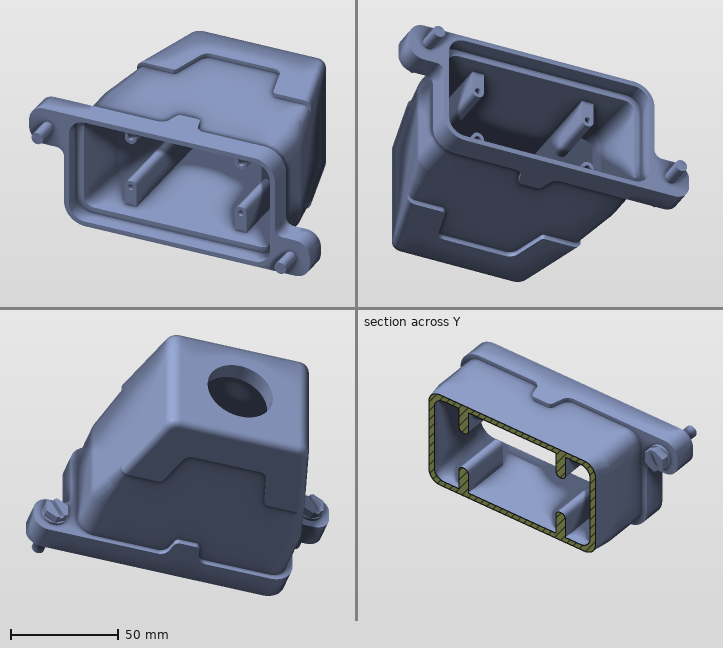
import cadquery as cq
import math


flange_length = 109.0
flange_height = 58.0
flange_thickness = 12.0
flange_corner = 11.0
ear_span = 145.0
ear_height = 19.0
ear_corner = 7.5
ear_root_fillet = 4.0
half_flange = flange_length / 2
half_span = ear_span / 2
half_height = flange_height / 2
ear_inner_edge = half_height - ear_height

hood_length = 103.0
hood_height = 53.0
hood_corner = 8.5
bend_y = 34.7
bend_radius = 10.5
selection_margin = 0.1
side_angle = 15.0
side_slope = math.tan(math.radians(side_angle))
back_y = 100.2
step_y = 59.2
step_corner = 3.8
back_corner = 6.0
back_edge_round = 3.5
half_hood_height = hood_height / 2

notch_top_y = 80.0
notch_top_half = 19.6
notch_top_round = 4.6
notch_foot_round = 2.0

tab_top_y = 21.9
tab_top_half = 5.7
tab_top_round = 2.3
tab_foot_round = 4.5

band_overhang = 3

recess_length = 103.8
recess_height = 53.0
recess_corner = 8.1
recess_depth = 8.7
cavity_mouth_half = 48.5
cavity_bend_half = 46.4
cavity_bend_y = 40.6
cavity_height = 46.7
cavity_corner = 5.4
cavity_floor_y = 91.6
shelf_y = 46.4
cable_hole = 32.0

rib_x = 28.4
rib_width = 6.0
rib_nose_round = 2.9
rib_end_z = 10.0
rib_front_y = 17.5
rib_hole = 3.0
rib_hole_z = 13.3
rib_hole_depth = 8.7

screw_x = 62.8
screw_z = 19.5
screw_diameter = 6.0
screw_reach = 11.7
washer_diameter = 12.0
washer_thickness = 1.5
head_across_corners = 12.0
head_height = 4.0
slot_width = 2.5
slot_depth = 1.5
slot_angle = 60.0
head_turn = 90.0


def plane_at(y):
    """Workplane across the hood axis, X to the right and Z up; extrude(-d) goes toward +Y."""
    return cq.Workplane("XZ", origin=(0, y, 0))


def rounded_section(length, height, corner):
    return cq.Sketch().rect(length, height).vertices().fillet(corner)


def rounded_block(length, height, corner, y, depth):
    return plane_at(y).placeSketch(rounded_section(length, height, corner)).extrude(-depth)


def hood_half_length(y):
    """Half length of the hood on its sloping sides."""
    return hood_length / 2 - (y - bend_y) * side_slope


def make_flange():
    outline = [
        (-half_span, half_height),
        (half_flange, half_height),
        (half_flange, -ear_inner_edge),
        (half_span, -ear_inner_edge),
        (half_span, -half_height),
        (-half_flange, -half_height),
        (-half_flange, ear_inner_edge),
        (-half_span, ear_inner_edge),
    ]
    flange = plane_at(0).polyline(outline).close().extrude(-flange_thickness)

    def round_corners(body, points, radius):
        for x, z in points:
            corner = cq.selectors.NearestToPointSelector((x, flange_thickness / 2, z))
            body = body.edges("|Y").edges(corner).fillet(radius)
        return body

    flange = round_corners(flange, [outline[1], outline[5]], flange_corner)
    flange = round_corners(flange, [outline[2], outline[6]], ear_root_fillet)
    return round_corners(flange, [outline[0], outline[3], outline[4], outline[7]], ear_corner)


def make_front_shell():
    """Straight shell, then sloping sides whose corner rounds shrink toward the step."""
    straight = rounded_block(hood_length, hood_height, hood_corner, 0, bend_y)
    start = rounded_section(hood_length, hood_height, hood_corner)
    end = rounded_section(2 * hood_half_length(step_y), hood_height, step_corner)
    end = end.moved(cq.Location(cq.Vector(0, 0, bend_y - step_y)))
    sloping = plane_at(bend_y).placeSketch(start, end).loft()
    shell = straight.union(sloping)
    bend = cq.selectors.BoxSelector(
        (-hood_length, bend_y - selection_margin, -hood_height),
        (hood_length, bend_y + selection_margin, hood_height),
    )
    return shell.edges(bend).fillet(bend_radius)


def make_rear_shell():
    """Full-height rear block with rounded outer edges."""
    outline = [
        (-hood_half_length(step_y), step_y),
        (hood_half_length(step_y), step_y),
        (hood_half_length(back_y), back_y),
        (-hood_half_length(back_y), back_y),
    ]
    block = cq.Workplane("XY").polyline(outline).close().extrude(half_height, both=True)
    block = block.edges("|Z and >Y").fillet(back_corner)
    rim = block.faces("|Z").edges("not(<Y)")
    return rim.fillet(back_edge_round)


def raised_trapezoid(foot_y, top_y, top_half, top_round, foot_round):
    """Layers on both hood faces: a trapezoid flaring smoothly into a narrow band below foot_y."""
    foot_half = top_half + (top_y - foot_y) * side_slope
    band_half = foot_half + band_overhang * foot_round
    band_y = foot_y - foot_round
    outline = [
        (-band_half, band_y),
        (band_half, band_y),
        (band_half, foot_y),
        (foot_half, foot_y),
        (top_half, top_y),
        (-top_half, top_y),
        (-foot_half, foot_y),
        (-band_half, foot_y),
    ]
    thickness = half_height - half_hood_height
    base = cq.Workplane("XY", origin=(0, 0, half_hood_height))
    layer = base.polyline(outline).close().extrude(thickness)
    layer = layer.edges("|Z and >Y").fillet(top_round)
    for x in (-foot_half, foot_half):
        foot = cq.selectors.NearestToPointSelector((x, foot_y, half_height - thickness / 2))
        layer = layer.edges("|Z").edges(foot).fillet(foot_round)
    return layer.union(layer.mirror("XY"))


def make_cavity():
    """Seal recess, stepped cavity and cable opening."""
    floor_half = cavity_bend_half - (cavity_floor_y - cavity_bend_y) * side_slope
    shelf_half = cavity_bend_half - (shelf_y - cavity_bend_y) * side_slope
    block_x = rib_x - rib_width / 2
    outline = [
        (-cavity_mouth_half, recess_depth),
        (cavity_mouth_half, recess_depth),
        (cavity_bend_half, cavity_bend_y),
        (shelf_half, shelf_y),
        (block_x, shelf_y),
        (block_x, cavity_floor_y),
        (-floor_half, cavity_floor_y),
        (-cavity_bend_half, cavity_bend_y),
    ]
    cavity = cq.Workplane("XY").polyline(outline).close().extrude(cavity_height / 2, both=True)
    right_wall = cq.selectors.BoxSelector((shelf_half, 0, -half_height), (half_span, back_y, half_height))
    left_wall = cq.selectors.BoxSelector((-half_span, 0, -half_height), (-floor_half, back_y, half_height))
    cavity = cavity.faces("|Z").edges(right_wall + left_wall).fillet(cavity_corner)
    recess = rounded_block(recess_length, recess_height, recess_corner, 0, recess_depth)
    opening = plane_at(0).circle(cable_hole / 2).extrude(-back_y)
    return cavity.union(recess).union(opening)


def make_rib(x, side, back):
    """Rib on the upper (side = 1) or lower (side = -1) wall with a blind screw hole."""
    mid_wall_z = (cavity_height / 2 + half_hood_height) / 2
    reach = mid_wall_z - rib_end_z
    rib = (
        plane_at(rib_front_y)
        .center(x, side * (rib_end_z + reach / 2))
        .rect(rib_width, reach)
        .extrude(rib_front_y - back)
    )
    nose = "<Z" if side > 0 else ">Z"
    rib = rib.faces(nose).edges("|Y").fillet(rib_nose_round)
    hole = plane_at(rib_front_y).center(x, side * rib_hole_z).circle(rib_hole / 2)
    return rib.cut(hole.extrude(-rib_hole_depth))


def make_screw(x, z):
    """Shank, washer and slotted hexagon head with two corners on the Z direction."""
    washer_top = flange_thickness + washer_thickness
    head_top = washer_top + head_height
    shank = plane_at(-screw_reach).circle(screw_diameter / 2).extrude(-(screw_reach + washer_top))
    washer = plane_at(flange_thickness).circle(washer_diameter / 2).extrude(-washer_thickness)
    head = (
        plane_at(washer_top)
        .transformed(rotate=(0, 0, head_turn))
        .polygon(6, head_across_corners)
        .extrude(-head_height)
    )
    slot = (
        plane_at(head_top - slot_depth)
        .transformed(rotate=(0, 0, slot_angle))
        .rect(2 * head_across_corners, slot_width)
        .extrude(-slot_depth)
    )
    return shank.union(washer).union(head.cut(slot)).translate((x, 0, z))


notch = raised_trapezoid(step_y, notch_top_y, notch_top_half, notch_top_round, notch_foot_round)
tabs = raised_trapezoid(flange_thickness, tab_top_y, tab_top_half, tab_top_round, tab_foot_round)

result = make_front_shell().union(make_rear_shell().cut(notch))
result = result.union(make_flange()).union(tabs).cut(make_cavity())
for side in (1, -1):
    result = result.union(make_rib(-rib_x, side, cavity_floor_y))
    result = result.union(make_rib(rib_x, side, shelf_y))
for side in (1, -1):
    result = result.union(make_screw(-side * screw_x, side * screw_z))